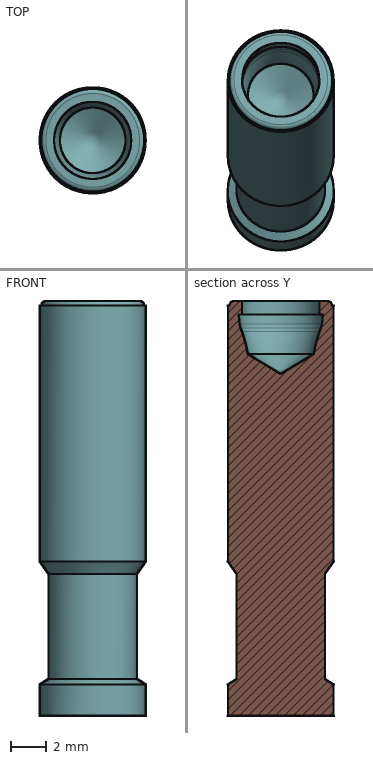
import cadquery as cq
import math

length = 23.4
body_radius = 3.0

neck_radius = 2.5
collar_height = 1.78
collar_bevel_height = 0.3
neck_top = 8.0
shoulder_height = 0.7

ledge_width = 0.1
lip_rounding = 0.25

mouth_radius = 2.18
mouth_depth = 0.77
funnel_radius = 2.36
funnel_cones = [(0.54, 5), (0.2, 15), (0.2, 20)]
throat_radius = 1.85
throat_height = 1.26
drill_point_angle = 118


def slope(half_angle):
    """Radius lost per unit of depth in a cone of this half angle."""
    return math.tan(math.radians(half_angle))


def pin_body():
    """Turned outside, from the closed end up to the rounded lip."""
    lip_radius = body_radius - ledge_width
    ledge_z = length - lip_rounding
    flat_radius = lip_radius - lip_rounding
    arc_shift = lip_rounding * math.cos(math.radians(45))
    outline = (
        cq.Workplane("XZ")
        .lineTo(body_radius, 0)
        .lineTo(body_radius, collar_height)
        .lineTo(neck_radius, collar_height + collar_bevel_height)
        .lineTo(neck_radius, neck_top)
        .lineTo(body_radius, neck_top + shoulder_height)
        .lineTo(body_radius, ledge_z)
        .lineTo(lip_radius, ledge_z)
        .threePointArc((flat_radius + arc_shift, ledge_z + arc_shift), (flat_radius, length))
        .lineTo(0, length)
        .close()
    )
    return outline.revolve(360, (0, 0, 0), (0, 1, 0))


def bore():
    """Space removed from the open end."""
    radius = funnel_radius
    z = length - mouth_depth
    outline = (
        cq.Workplane("XZ")
        .moveTo(0, length)
        .lineTo(mouth_radius, length)
        .lineTo(mouth_radius, z)
        .lineTo(funnel_radius, z)
    )
    for height, half_angle in funnel_cones:
        radius -= height * slope(half_angle)
        z -= height
        outline = outline.lineTo(radius, z)
    floor_edge = z - throat_height
    point_height = throat_radius / slope(drill_point_angle / 2)
    outline = (
        outline.tangentArcPoint((throat_radius, floor_edge), relative=False)
        .lineTo(0, floor_edge - point_height)
        .close()
    )
    return outline.revolve(360, (0, 0, 0), (0, 1, 0))


result = pin_body().cut(bore())